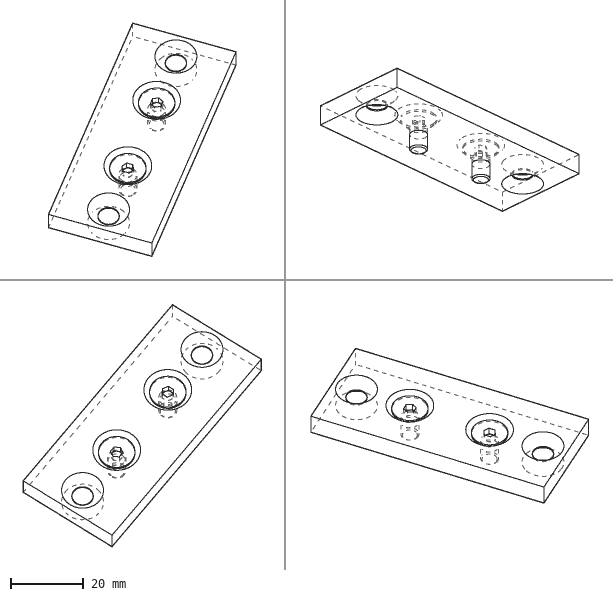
import cadquery as cq
import math

PLATE_WIDTH = 30.0
PLATE_LENGTH = 70.0
PLATE_THICKNESS = 6.0

MOUNT_OFFSET = 28.0
MOUNT_HOLE_DIAMETER = 5.8
MOUNT_SINK_DIAMETER = 11.5
MOUNT_SINK_ANGLE = 90.0

SCREW_OFFSET = 12.0
SHANK_DIAMETER = 5.0
SHANK_PROTRUSION = 5.0
TIP_CHAMFER = 0.4
HEAD_DIAMETER = 10.0
HEAD_RECESS = 1.0
SCREW_SINK_DIAMETER = 13.1

SOCKET_FLATS = 3.0
SOCKET_DEPTH = 2.0
SOCKET_CONE_ANGLE = 120.0
SOCKET_CORNERS = SOCKET_FLATS / math.cos(math.pi / 6)

seat_contact_depth = (SCREW_SINK_DIAMETER - HEAD_DIAMETER) / 2
screw_sink_depth = (SCREW_SINK_DIAMETER - SHANK_DIAMETER) / 2
head_rim_height = seat_contact_depth - HEAD_RECESS
head_cone_height = screw_sink_depth - seat_contact_depth


def make_cone(top_diameter, bottom_diameter, height, top_z):
    """Return a cone, or frustum, that narrows downward from top_z."""
    return cq.Workplane(cq.Solid.makeCone(
        top_diameter / 2, bottom_diameter / 2, height,
        pnt=cq.Vector(0, 0, top_z), dir=cq.Vector(0, 0, -1),
    ))


def make_plate():
    """Return the plate with its mounting holes and screw seats."""
    plate = cq.Workplane("XY").box(
        PLATE_WIDTH, PLATE_LENGTH, PLATE_THICKNESS, centered=(True, True, False)
    ).translate((0, 0, -PLATE_THICKNESS))
    for face in (">Z", "<Z"):
        plate = (
            plate.faces(face).workplane(origin=(0, 0, 0))
            .pushPoints([(0, -MOUNT_OFFSET), (0, MOUNT_OFFSET)])
            .cskHole(MOUNT_HOLE_DIAMETER, MOUNT_SINK_DIAMETER, MOUNT_SINK_ANGLE)
        )
    seat = make_cone(SCREW_SINK_DIAMETER, SHANK_DIAMETER, screw_sink_depth, 0)
    bore = cq.Workplane("XY").circle(SHANK_DIAMETER / 2).extrude(-PLATE_THICKNESS)
    for y in (-SCREW_OFFSET, SCREW_OFFSET):
        plate = plate.cut(seat.translate((0, y, 0)))
        plate = plate.cut(bore.translate((0, y, 0)))
    return plate


def make_screw(y, socket_turn):
    """Return one screw at the given Y, its socket turned about Z in degrees."""
    shank_top = -screw_sink_depth
    shank_bottom = -PLATE_THICKNESS - SHANK_PROTRUSION
    shank = (
        cq.Workplane("XY").workplane(offset=shank_bottom)
        .circle(SHANK_DIAMETER / 2).extrude(shank_top - shank_bottom)
        .faces("<Z").chamfer(TIP_CHAMFER)
    )
    head_cone = make_cone(HEAD_DIAMETER, SHANK_DIAMETER, head_cone_height, -seat_contact_depth)
    head_rim = (
        cq.Workplane("XY").workplane(offset=-seat_contact_depth)
        .circle(HEAD_DIAMETER / 2).extrude(head_rim_height)
    )
    hexagon = (
        cq.Workplane("XY").workplane(offset=-HEAD_RECESS)
        .polygon(6, SOCKET_CORNERS).extrude(-SOCKET_DEPTH)
        .rotate((0, 0, 0), (0, 0, 1), socket_turn)
    )
    cone_height = SOCKET_FLATS / 2 / math.tan(math.radians(SOCKET_CONE_ANGLE / 2))
    socket_end = make_cone(SOCKET_FLATS, 0, cone_height, -HEAD_RECESS - SOCKET_DEPTH)
    screw = shank.union(head_cone).union(head_rim).cut(hexagon).cut(socket_end)
    return screw.translate((0, y, 0))


plate = make_plate()
screws = [
    make_screw(y, socket_turn)
    for y, socket_turn in ((-SCREW_OFFSET, 0), (SCREW_OFFSET, 30))
]

result = cq.Compound.makeCompound([plate.val(), *[screw.val() for screw in screws]])